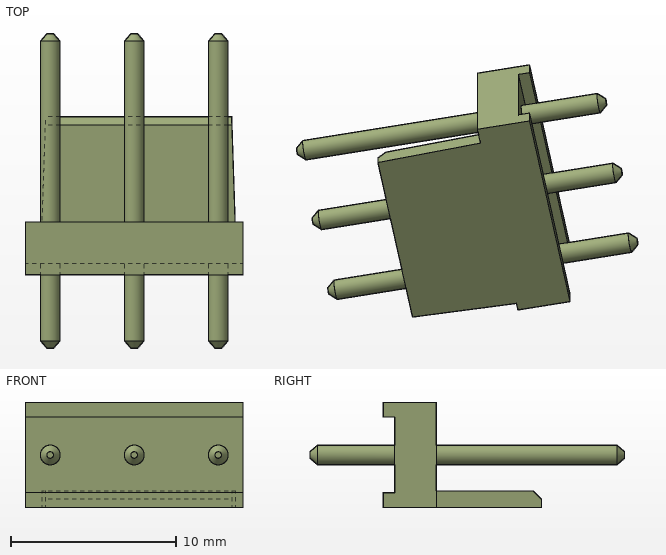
import cadquery as cq

body_length = 13.17
body_depth = 3.22
body_height = 6.35
channel_depth = 0.69
rail_height = 0.9

pin_count = 3
pin_pitch = 5.08
pin_diameter = 1.2
pin_length = 19.03
pin_front_reach = 4.43
pin_tip_length = 0.45
pin_tip_diameter = 0.4

tongue_length = 6.35
tongue_thickness = 1.0
tongue_root_width = 11.68
tongue_taper = 0.2
tongue_offset = 0.27
tongue_bevel = 0.5

body_bottom = -body_height / 2


def make_body():
    block = cq.Workplane("XY").box(
        body_length, body_depth, body_height, centered=(True, False, True)
    )
    channel = cq.Workplane("XY").box(
        body_length, channel_depth, body_height - 2 * rail_height, centered=(True, False, True)
    )
    return block.cut(channel)


def make_pin(x):
    radius = pin_diameter / 2
    tip_radius = pin_tip_diameter / 2
    front = -pin_front_reach
    back = front + pin_length
    half_profile = [
        (0, front),
        (tip_radius, front),
        (radius, front + pin_tip_length),
        (radius, back - pin_tip_length),
        (tip_radius, back),
        (0, back),
    ]
    pin = cq.Workplane("XY").polyline(half_profile).close().revolve(360, (0, 0), (0, 1))
    return pin.translate((x, 0, 0))


def make_tongue():
    root_half = tongue_root_width / 2
    end_half = root_half - tongue_taper
    end = body_depth + tongue_length
    plate = (
        cq.Workplane("XY")
        .polyline([(-root_half, body_depth), (root_half, body_depth), (end_half, end), (-end_half, end)])
        .close()
        .extrude(tongue_thickness)
    )
    plate = plate.faces(">Y").edges(">Z").chamfer(tongue_bevel)
    return plate.translate((tongue_offset, 0, body_bottom))


result = make_body().union(make_tongue())
for index in range(pin_count):
    pin_x = (index - (pin_count - 1) / 2) * pin_pitch
    result = result.union(make_pin(pin_x))